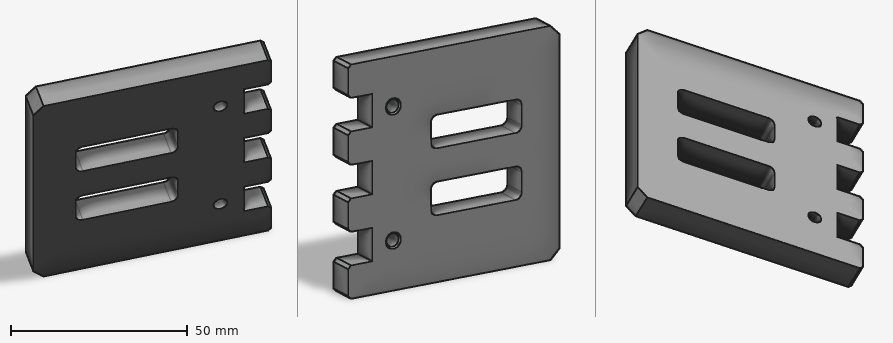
import cadquery as cq

side = 70.0
thickness = 8.0
corner_chamfer = 3.0

tab_count = 4
notch_count = tab_count - 1
pitch = side / (tab_count + notch_count)
notch_depth = 8.0
tab_chamfer = 1.0

slot_length = 30.0
slot_height = pitch
slot_corner_radius = 2.0
slot_center_y = -7.5
slot_center_z = pitch

hole_diameter = 4.0
countersink_diameter = 5.0
countersink_angle = 90
hole_inset = 15.0
hole_y = side / 2 - hole_inset
hole_z = side / 2 - hole_inset


def make_plate():
    """Comb-edged plate with chamfered tabs and -Y corners."""
    plate = cq.Workplane("XY").box(thickness, side, side)
    plate = plate.edges("|X and <Y").chamfer(corner_chamfer)
    for index in range(notch_count):
        notch_z = (index - (notch_count - 1) / 2) * 2 * pitch
        notch = cq.Workplane("XY").box(thickness, notch_depth, pitch)
        plate = plate.cut(notch.translate((0, side / 2 - notch_depth / 2, notch_z)))
    return plate.faces(">Y").edges("|X").chamfer(tab_chamfer)


def make_slot(center_z):
    """Rounded rectangular cutter through the plate."""
    slot = cq.Workplane("XY").box(thickness, slot_length, slot_height)
    slot = slot.edges("|X").fillet(slot_corner_radius)
    return slot.translate((0, slot_center_y, center_z))


def drill_holes(plate):
    """Drill the countersunk holes; the sketch plane faces -X with its x along -Y."""
    entry_face = cq.Plane(origin=(-thickness / 2, 0, 0), xDir=(0, -1, 0), normal=(-1, 0, 0))
    return (
        plate.copyWorkplane(cq.Workplane(entry_face))
        .pushPoints([(-hole_y, -hole_z), (-hole_y, hole_z)])
        .cskHole(hole_diameter, countersink_diameter, countersink_angle)
    )


body = make_plate()
for slot_z in (-slot_center_z, slot_center_z):
    body = body.cut(make_slot(slot_z))
result = drill_holes(body)